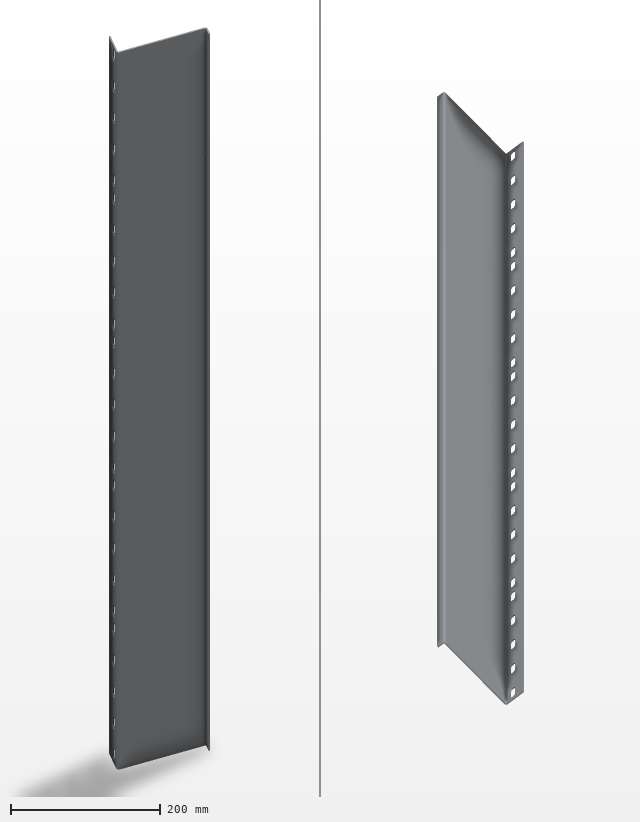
import cadquery as cq

length = 1500.0
depth = 129.0
width = 42.0
sheet = 2.0

front_flange = 32.0
rear_flange = width - front_flange + sheet
bend_inner_radius = 2.0
bend_outer_radius = bend_inner_radius + sheet

slot_width = 9.0
slot_height = 24.0
slot_edge_distance = 18.0
group_count = 5
group_pitch = 300.0
group_gap = 38.0
slots_per_group = 5
slot_pitch = (group_pitch - group_gap) / (slots_per_group - 1)
cutter_overrun = sheet

left = -width / 2
right = width / 2
front = -depth / 2
back = depth / 2
web_right = left + front_flange
web_left = right - rear_flange


def round_upright_edge(body, x, y, radius):
    """Fillet the single vertical edge standing at (x, y)."""
    reach = sheet / 4
    around_edge = cq.selectors.BoxSelector(
        (x - reach, y - reach, -length),
        (x + reach, y + reach, length),
    )
    return body.edges("|Z").edges(around_edge).fillet(radius)


def make_rail():
    """Extrude the Z section along the full length and round its two bends."""
    outline = [
        (left, front),
        (web_right, front),
        (web_right, back - sheet),
        (right, back - sheet),
        (right, back),
        (web_left, back),
        (web_left, front + sheet),
        (left, front + sheet),
    ]
    bends = [
        (web_right, front, bend_outer_radius),
        (web_left, front + sheet, bend_inner_radius),
        (web_left, back, bend_outer_radius),
        (web_right, back - sheet, bend_inner_radius),
    ]
    rail = (
        cq.Workplane("XY", origin=(0, 0, -length / 2))
        .polyline(outline)
        .close()
        .extrude(length)
    )
    for x, y, radius in bends:
        rail = round_upright_edge(rail, x, y, radius)
    return rail


def centred_steps(count, pitch):
    """Evenly spaced positions, symmetric about zero."""
    return [(index - (count - 1) / 2) * pitch for index in range(count)]


def make_slots():
    """Upright round-ended cutters passing through the front flange."""
    slot_x = left + slot_edge_distance
    centres = [
        (slot_x, group_z + slot_z)
        for group_z in centred_steps(group_count, group_pitch)
        for slot_z in centred_steps(slots_per_group, slot_pitch)
    ]
    return (
        cq.Workplane("XZ", origin=(0, front + sheet + cutter_overrun, 0))
        .pushPoints(centres)
        .slot2D(slot_height, slot_width, 90)
        .extrude(sheet + 2 * cutter_overrun)
    )


result = make_rail().cut(make_slots())